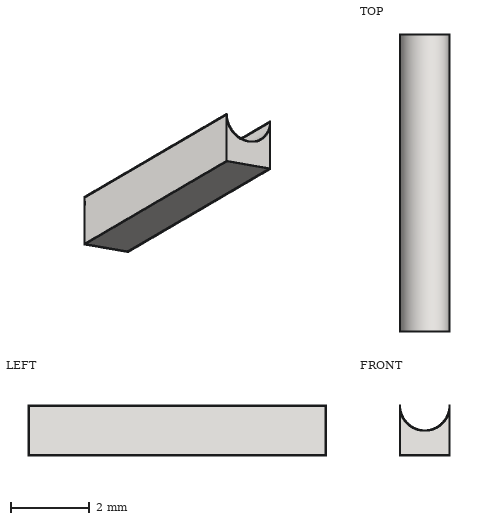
import cadquery as cq

side = 1.27
length = 7.62

groove_radius = side / 2
half_width = side / 2
half_height = side / 2

profile = (
    cq.Workplane("XZ", origin=(0, length / 2, 0))
    .moveTo(-half_width, half_height)
    .lineTo(-half_width, -half_height)
    .lineTo(half_width, -half_height)
    .lineTo(half_width, half_height)
    .threePointArc((0, half_height - groove_radius), (-half_width, half_height))
    .close()
)

result = profile.extrude(length)